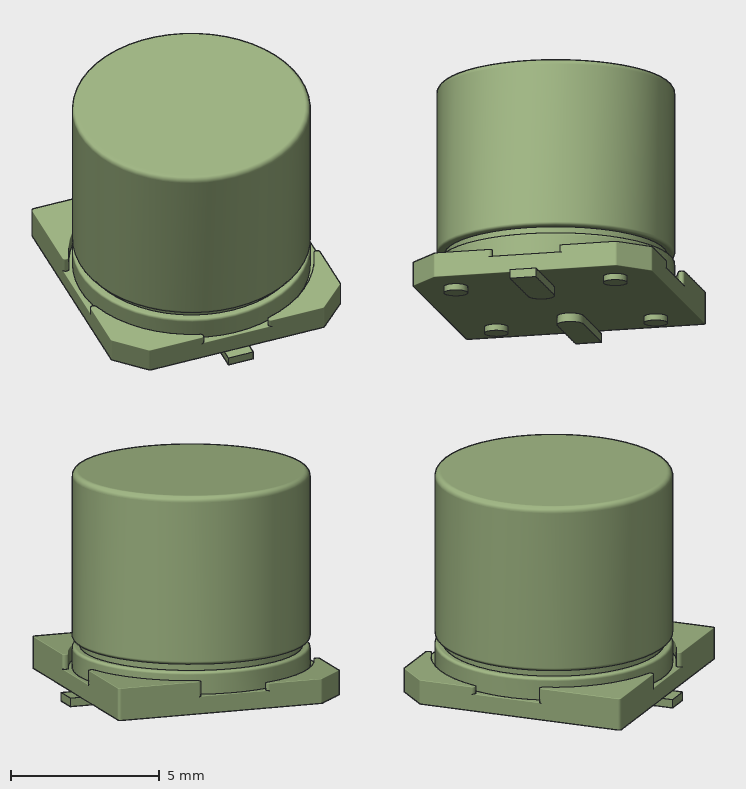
import cadquery as cq

base_side = 8.3
base_bottom = 0.3
base_floor = 0.9
pad_root_depth = 0.2
rear_pad_top = 1.4
front_pad_top = 1.14
corner_cut = 1.0
corner_radius = 0.1
rim_radius = 0.02
notch_width = 2.34

can_diameter = 8.0
can_top = 7.7
can_top_radius = 0.2
neck_diameter = 7.5
groove_bottom = 1.665
groove_top = 1.92
lip_radius = 0.1
can_clearance = 0.13

lead_span = 9
lead_width = 0.9
lead_inner_gap = 3.1
pin_diameter = 0.8
pin_length = 0.22
pin_offset = 2.76


def base_plate():
    """Square plate with both +X corners cut and all outer edges rounded."""
    return (
        cq.Workplane("XY", origin=(0, 0, base_bottom))
        .rect(base_side, base_side)
        .extrude(base_floor - base_bottom)
        .edges("|Z and >X")
        .chamfer(corner_cut)
        .edges("|Z")
        .fillet(corner_radius)
        .faces("<Z or >Z")
        .edges()
        .fillet(rim_radius)
    )


def corner_pads(side, top):
    """The two corner pads on one side: -1 for the -X side, +1 for the +X side."""
    root = base_floor - pad_root_depth
    height = top - root
    level = cq.Workplane("XY", origin=(0, 0, root))
    pad_side = (base_side - notch_width) / 2
    pad_centre = (notch_width + pad_side) / 2
    pads = (
        level.pushPoints([(side * pad_centre, pad_centre), (side * pad_centre, -pad_centre)])
        .rect(pad_side, pad_side)
        .extrude(height)
    )
    if side > 0:
        pads = pads.edges("|Z and >X").edges(">Y or <Y").chamfer(corner_cut)
    bore = level.circle(can_diameter / 2 + can_clearance).extrude(height)
    return (
        pads.cut(bore)
        .edges("|Z")
        .fillet(corner_radius)
        .faces(">Z")
        .edges()
        .fillet(rim_radius)
    )


def can():
    """Body of revolution: foot ring, narrow neck and main barrel."""
    foot = (
        cq.Workplane("XY", origin=(0, 0, base_floor))
        .circle(can_diameter / 2)
        .extrude(groove_bottom - base_floor)
        .faces(">Z")
        .edges()
        .fillet(lip_radius)
    )
    neck = (
        cq.Workplane("XY", origin=(0, 0, groove_bottom))
        .circle(neck_diameter / 2)
        .extrude(groove_top - groove_bottom)
    )
    barrel = (
        cq.Workplane("XY", origin=(0, 0, groove_top))
        .circle(can_diameter / 2)
        .extrude(can_top - groove_top)
        .faces("<Z")
        .edges()
        .fillet(lip_radius)
        .faces(">Z")
        .edges()
        .fillet(can_top_radius)
    )
    return foot.union(neck).union(barrel)


def leads():
    """Flat leads along X, each with a full-round inner end."""
    end_radius = lead_width / 2
    half_gap = lead_inner_gap / 2
    one = (
        cq.Workplane("XY")
        .moveTo(lead_span / 2, -end_radius)
        .lineTo(half_gap + end_radius, -end_radius)
        .threePointArc((half_gap, 0), (half_gap + end_radius, end_radius))
        .lineTo(lead_span / 2, end_radius)
        .close()
        .extrude(base_bottom)
    )
    return one.union(one.mirror("YZ"))


def stand_off_pins():
    """Four round pins in a square pattern under the base."""
    return (
        cq.Workplane("XY", origin=(0, 0, base_bottom - pin_length))
        .rect(2 * pin_offset, 2 * pin_offset, forConstruction=True)
        .vertices()
        .circle(pin_diameter / 2)
        .extrude(pin_length)
    )


result = (
    base_plate()
    .union(corner_pads(-1, rear_pad_top))
    .union(corner_pads(1, front_pad_top))
    .union(can())
    .union(leads())
    .union(stand_off_pins())
)